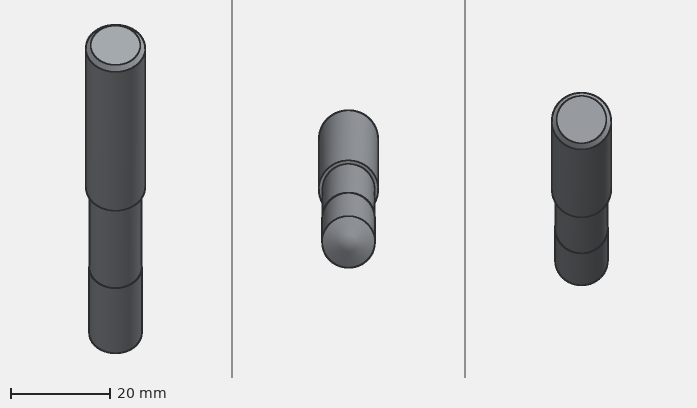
import cadquery as cq
import math

shank_diameter = 12.0
neck_diameter = 10.55
cutting_diameter = 10.7
point_angle = 140.0
body_length = 95.0
shank_bottom = 50.0
cutting_length = 21.55
shank_chamfer = 1.0

shank_radius = shank_diameter / 2
neck_radius = neck_diameter / 2
cutting_radius = cutting_diameter / 2
point_height = cutting_radius / math.tan(math.radians(point_angle / 2))
cutting_top = point_height + cutting_length
neck_length = shank_bottom - cutting_top
shank_length = point_height + body_length - shank_bottom


def make_shank_and_neck():
    """Shank with a chamfered top edge and the slimmer neck below it."""
    shank = (
        cq.Workplane("XY")
        .workplane(offset=shank_bottom)
        .circle(shank_radius)
        .extrude(shank_length)
        .faces(">Z")
        .chamfer(shank_chamfer)
    )
    neck = cq.Workplane("XY").workplane(offset=cutting_top).circle(neck_radius).extrude(neck_length)
    return shank.union(neck)


def make_cutting_part():
    """Cylinder ending in a conical drill point."""
    half_profile = (
        cq.Workplane("XZ")
        .lineTo(cutting_radius, point_height)
        .lineTo(cutting_radius, cutting_top)
        .lineTo(0, cutting_top)
        .close()
    )
    return half_profile.revolve(360, (0, 0), (0, 1))


shank_and_neck = make_shank_and_neck()
cutting_part = make_cutting_part()

result = cq.Compound.makeCompound([shank_and_neck.val(), cutting_part.val()])